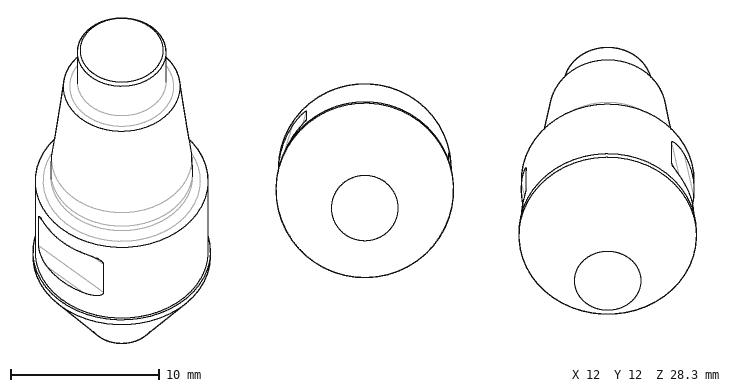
import cadquery as cq

rim_bottom_z = 6.5
rim_top_z = 7.02
collar_top_z = 14.5
cylinder_top_z = 15.48
band_top_z = 16.85
taper_top_z = 24.48
pin_top_z = 28.3

tip_diameter = 4.5
rim_diameter = 12.0
collar_diameter = 11.7
neck_diameter = 9.6
band_top_diameter = 9.48
taper_top_diameter = 7.9
pin_diameter = 6.0

fillet_radius = 0.5
pin_chamfer = 0.2

flat_offset = 5.0
flat_height = 4.15
flat_center_z = 11.07
flat_corner_radius = 0.6


def make_tip():
    """Conical tip with a narrow rim at its wide end."""
    rim_radius = rim_diameter / 2
    return (
        cq.Workplane("XZ")
        .moveTo(0, 0)
        .lineTo(tip_diameter / 2, 0)
        .lineTo(rim_radius, rim_bottom_z)
        .lineTo(rim_radius, rim_top_z)
        .lineTo(0, rim_top_z)
        .close()
        .revolve(360, (0, 0), (0, 1))
    )


def make_turned_shank():
    """Collar, tapered neck and end pin, turned about Z."""
    collar_radius = collar_diameter / 2
    neck_radius = neck_diameter / 2
    taper_top_radius = taper_top_diameter / 2
    pin_radius = pin_diameter / 2
    band_top_radius = band_top_diameter / 2

    return (
        cq.Workplane("XZ")
        .moveTo(0, rim_top_z)
        .lineTo(collar_radius, rim_top_z)
        .lineTo(collar_radius, collar_top_z)
        .lineTo(neck_radius + fillet_radius, collar_top_z)
        .radiusArc((neck_radius, collar_top_z + fillet_radius), fillet_radius)
        .lineTo(neck_radius, cylinder_top_z)
        .lineTo(band_top_radius, band_top_z)
        .lineTo(taper_top_radius, taper_top_z)
        .lineTo(pin_radius + fillet_radius, taper_top_z)
        .radiusArc((pin_radius, taper_top_z + fillet_radius), fillet_radius)
        .lineTo(pin_radius, pin_top_z - pin_chamfer)
        .lineTo(pin_radius - pin_chamfer, pin_top_z)
        .lineTo(0, pin_top_z)
        .close()
        .revolve(360, (0, 0), (0, 1))
    )


def make_flat_cutter(side):
    """Block that cuts one flat; side is -1 for -Y or +1 for +Y."""
    cutter_depth = collar_diameter / 2
    return (
        cq.Workplane("XY")
        .box(collar_diameter, cutter_depth, flat_height)
        .faces("<Y" if side > 0 else ">Y")
        .edges("|X")
        .fillet(flat_corner_radius)
        .translate((0, side * (flat_offset + cutter_depth / 2), flat_center_z))
    )


def make_shank():
    """Turned shank with a pair of opposite wrench flats."""
    shank = make_turned_shank()
    for side in (-1, 1):
        shank = shank.cut(make_flat_cutter(side))
    return shank


tip = make_tip()
shank = make_shank()

result = cq.Compound.makeCompound([tip.val(), *shank.solids().vals()])